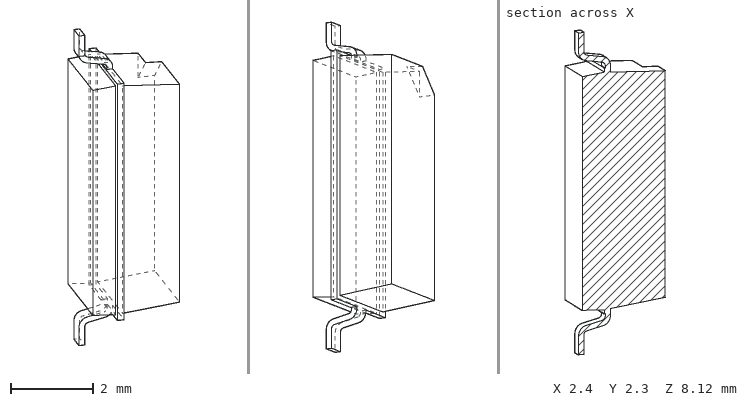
import cadquery as cq
import math

PLATE_WIDTH = 2.4
PLATE_LENGTH = 6.2
PLATE_THICKNESS = 0.175
PLATE_FRONT_Y = 0.68
PLATE_BACK_Y = PLATE_FRONT_Y + PLATE_THICKNESS

OVERALL_LENGTH = 8.12
LEAD_WIDTH = 0.445
LEAD_THICKNESS = 0.15
LEAD_FRONT_Y = PLATE_BACK_Y - LEAD_THICKNESS
LEAD_STUB = 0.05
BEND_INNER_RADIUS = 0.1
BEND_OUTER_RADIUS = BEND_INNER_RADIUS + LEAD_THICKNESS
LEAD_TILT = math.radians(11)

BODY_WIDTH = 2.13
BODY_LENGTH = 6.0
BODY_FRONT_Y = 0.1
BODY_BACK_Y = 2.3
DRAFT = math.radians(5)

MARK_DEPTH = 0.42
MARK_HEIGHT = 0.6


def body_half_length(y):
    """Half length of the drafted body at a given Y."""
    return BODY_LENGTH / 2 - abs(y - PLATE_FRONT_Y) * math.tan(DRAFT)


def make_plate():
    plate = cq.Workplane("XY").box(PLATE_WIDTH, PLATE_THICKNESS, PLATE_LENGTH)
    return plate.translate((0, PLATE_FRONT_Y + PLATE_THICKNESS / 2, 0))


def make_body():
    upper_profile = [(y, body_half_length(y)) for y in (BODY_FRONT_Y, PLATE_FRONT_Y, BODY_BACK_Y)]
    lower_profile = [(y, -z) for y, z in reversed(upper_profile)]
    outline = cq.Workplane("YZ").polyline(upper_profile + lower_profile).close()
    return outline.extrude(BODY_WIDTH / 2, both=True)


def make_corner_mark():
    """45 degree wedge over the upper -X corner of the back face."""
    corner_x = -BODY_WIDTH / 2
    bottom_z = body_half_length(BODY_BACK_Y) - MARK_HEIGHT
    leg = 2 * MARK_HEIGHT
    wedge = [
        (corner_x, bottom_z),
        (corner_x + leg, bottom_z + leg),
        (corner_x, bottom_z + leg),
    ]
    return cq.Workplane("XZ", origin=(0, BODY_BACK_Y, 0)).polyline(wedge).close().extrude(MARK_DEPTH)


def make_lead():
    """Upper lead: stub, bend, tilted stretch, opposite bend and foot."""
    stub_z = PLATE_LENGTH / 2
    tip_z = OVERALL_LENGTH / 2
    bend_z = stub_z + LEAD_STUB
    first_y = LEAD_FRONT_Y - BEND_INNER_RADIUS
    second_y = BEND_OUTER_RADIUS
    radii_sum = BEND_INNER_RADIUS + BEND_OUTER_RADIUS

    rise = ((first_y - second_y) * math.sin(LEAD_TILT) + radii_sum) / math.cos(LEAD_TILT)
    foot_z = bend_z + rise

    def on_first(radius, angle):
        return (first_y + radius * math.sin(angle), bend_z + radius * math.cos(angle))

    def on_second(radius, angle):
        return (second_y - radius * math.sin(angle), foot_z - radius * math.cos(angle))

    tangent = LEAD_TILT
    straight = math.pi / 2
    middle = (tangent + straight) / 2
    return (
        cq.Workplane("YZ")
        .moveTo(PLATE_BACK_Y, stub_z)
        .lineTo(*on_first(BEND_OUTER_RADIUS, straight))
        .threePointArc(on_first(BEND_OUTER_RADIUS, middle), on_first(BEND_OUTER_RADIUS, tangent))
        .lineTo(*on_second(BEND_INNER_RADIUS, tangent))
        .threePointArc(on_second(BEND_INNER_RADIUS, middle), on_second(BEND_INNER_RADIUS, straight))
        .lineTo(LEAD_THICKNESS, tip_z)
        .lineTo(0, tip_z)
        .lineTo(*on_second(BEND_OUTER_RADIUS, straight))
        .threePointArc(on_second(BEND_OUTER_RADIUS, middle), on_second(BEND_OUTER_RADIUS, tangent))
        .lineTo(*on_first(BEND_INNER_RADIUS, tangent))
        .threePointArc(on_first(BEND_INNER_RADIUS, middle), on_first(BEND_INNER_RADIUS, straight))
        .lineTo(LEAD_FRONT_Y, stub_z)
        .close()
        .extrude(LEAD_WIDTH / 2, both=True)
    )


upper_lead = make_lead()
lower_lead = upper_lead.mirror("XY")
body = make_body().cut(make_corner_mark())
result = body.union(make_plate()).union(upper_lead).union(lower_lead)